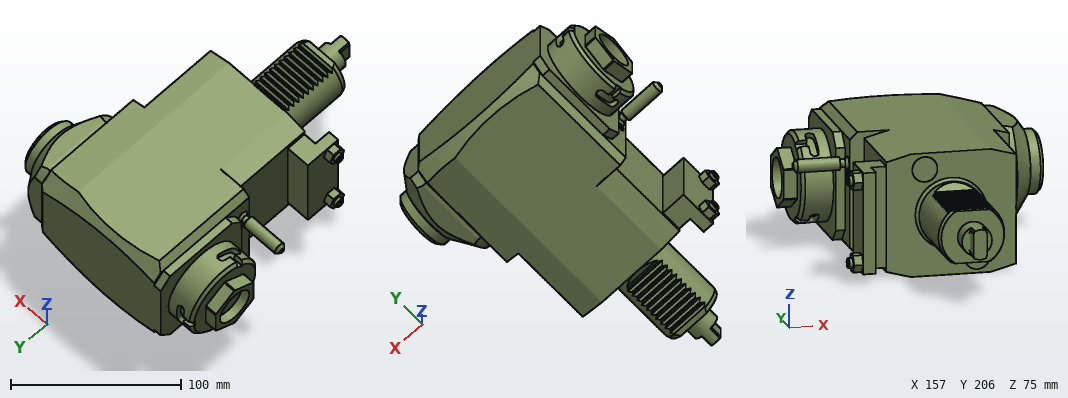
import cadquery as cq
import math


half_height = 37.5
head_left, head_right = -47.8, 48.6
head_bottom, head_top = 55.0, 134.0
head_edge_chamfer = 4.5
neck_left, neck_right = -39.1, 39.3
taper_angle = 15
taper_start_left, taper_start_right = -24.0, 23.9
end_cone_x = -9.3
end_cone_radius = 129.5
corner_chamfer_x, corner_chamfer_y = 4.0, 3.0
plug_x, plug_z = 15.9, 27.6
plug_radius, plug_recess = 7.6, 0.2

spindle_y = 100.0
flange_left = -53.4
flange_bottom = 66.7
flange_half_height = 33.0
flange_chamfer = 7.8
collar_left = -72.5
collar_radius = 27.6
collar_chamfer = 2.0
collar_slot_x = -62.8
collar_slot_width, collar_slot_length = 5.4, 19.0
collar_slot_depth = 3.5
collar_notch_width, collar_notch_depth = 5.0, 3.0
cut_margin = 2.0
hex_left = -80.8
hex_flats = 31.7
hex_corner_chamfer = 0.5
hex_bore_radius, hex_bore_depth = 12.2, 6.2

cap_radius = 37.5
cap_cylinder_right, cap_cone_right = 55.6, 67.5
cap_cone_radius = 21.0
cap_top = 130.0
cap_flat_z = 29.3
cap_flat_right = 51.7
cap_taper_angle = 12
knob_right = 76.2
knob_radius = 19.4
knob_chamfer = 2.3

pin_y, pin_z = 60.5, 17.5
pin_left, pin_right = -80.8, -53.0
pin_radius, pin_chamfer = 4.0, 2.0
pin_neck_radius, pin_neck_right = 2.5, -49.6
set_screw_z, set_screw_radius, set_screw_recess = 10.3, 4.0, 0.6
set_screw_hole_radius, set_screw_hole_depth = 1.2, 2.0

bracket_left, bracket_inner = -55.8, -48.2
bracket_bottom, bracket_top = -11.0, 14.2
bracket_step_y = 0.5
bracket_half_height = 31.0
nut_y, nut_z = -4.7, 25.1
nut_left, nut_flats = -61.2, 10.3
stud_left, stud_radius, stud_chamfer = -63.9, 3.0, 0.6
socket_flats, socket_depth = 3.3, 1.6

shank_radius, shank_end = 20.0, -53.1
shank_chamfer_radial, shank_chamfer_axial = 1.0, 3.0
ring_radius, ring_thickness, ring_fillet = 21.6, 2.5, 1.5
flat_z, flat_start = 15.9, -4.7
groove_first, groove_last, groove_count = -11.7, -47.8, 10
groove_pitch = (groove_first - groove_last) / (groove_count - 1)
groove_depth = 1.6
tip_radius, tip_end = 9.0, -63.9
tang_width, tang_end = 8.0, -72.0
tang_chamfer_x, tang_chamfer_start_z = 0.6, 6.8
tang_root_fillet = 0.6

taper_slope = math.tan(math.radians(taper_angle))


def box(x0, x1, y0, y1, z0, z1):
    return cq.Workplane("XY").box(x1 - x0, y1 - y0, z1 - z0, centered=False).translate((x0, y0, z0))


def x_plane(x, y, z):
    """Sketch plane normal to +X with its local axes along Y and Z."""
    return cq.Workplane("YZ", origin=(x, y, z))


def x_cylinder(x0, x1, radius, y, z):
    return x_plane(x0, y, z).circle(radius).extrude(x1 - x0)


def x_hexagon(x0, x1, flats, y, z, turn=0):
    """Hexagonal bar along X with corners on the Y axis, turned by an angle about X."""
    bar = x_plane(x0, y, z).polygon(6, flats / math.cos(math.pi / 6)).extrude(x1 - x0)
    return bar.rotate((0, y, z), (1, y, z), turn)


def y_prism(half_outline, y0, y1):
    """Extrude along Y an XZ outline mirrored about Z = 0; points run left to right."""
    mirrored = [(x, -z) for x, z in reversed(half_outline)]
    prism = cq.Workplane("XZ", origin=(0, y0, 0)).polyline(half_outline + mirrored).close()
    return prism.extrude(y0 - y1)


def make_housing():
    def right_side(right):
        return [
            (taper_start_right, half_height),
            (right, half_height - (right - taper_start_right) * taper_slope),
        ]

    head = y_prism(
        [
            (head_left, half_height - head_edge_chamfer),
            (head_left + head_edge_chamfer, half_height),
        ] + right_side(head_right),
        head_bottom,
        head_top,
    )
    corner = cq.Workplane("XY").polyline([
        (head_right - corner_chamfer_x, head_top),
        (head_right, head_top),
        (head_right, head_top - corner_chamfer_y),
    ]).close().extrude(half_height, both=True)

    end_cones = cq.Workplane("XZ").polyline([
        (0, -half_height),
        (end_cone_radius, -half_height),
        (end_cone_radius + half_height, 0),
        (end_cone_radius, half_height),
        (0, half_height),
    ]).close().revolve(360, (0, 0), (0, 1)).translate((end_cone_x, 0, 0))

    neck = y_prism(
        [
            (neck_left, half_height - (taper_start_left - neck_left) * taper_slope),
            (taper_start_left, half_height),
        ] + right_side(neck_right),
        0,
        head_bottom,
    )
    housing = head.cut(corner).intersect(end_cones).union(neck)
    for side in (-1, 1):
        center = (side * plug_x, 0, -side * plug_z)
        housing = housing.cut(cq.Workplane("XZ", origin=center).circle(plug_radius).extrude(-plug_recess))
    return housing


def make_flange():
    plate = box(flange_left, head_left, flange_bottom, head_top, -flange_half_height, flange_half_height)
    return plate.edges("|X").chamfer(flange_chamfer)


def make_collar():
    collar = x_cylinder(collar_left, flange_left, collar_radius, spindle_y, 0)
    collar = collar.faces("<X").chamfer(collar_chamfer)

    floor_radius = collar_radius - collar_slot_depth
    rim = x_cylinder(collar_left, flange_left, collar_radius + cut_margin, spindle_y, 0)
    rim = rim.cut(x_cylinder(collar_left, flange_left, floor_radius, spindle_y, 0))
    slot = cq.Workplane("XZ", origin=(collar_slot_x, spindle_y, 0))
    slot = slot.slot2D(collar_slot_length, collar_slot_width, 90).extrude(-collar_radius - cut_margin)
    slot = slot.intersect(rim)
    notch = box(
        collar_left, collar_slot_x,
        spindle_y + collar_radius - collar_notch_depth, spindle_y + collar_radius + cut_margin,
        -collar_notch_width / 2, collar_notch_width / 2,
    )
    spanner_cut = slot.union(notch)
    for angle in (0, 120, 240):
        collar = collar.cut(spanner_cut.rotate((0, spindle_y, 0), (1, spindle_y, 0), angle))

    hexagon = x_hexagon(hex_left, collar_left, hex_flats, spindle_y, 0, turn=90)
    hexagon = hexagon.edges("|X").chamfer(hex_corner_chamfer)
    bore = x_cylinder(hex_left, hex_left + hex_bore_depth, hex_bore_radius, spindle_y, 0)
    return collar.union(hexagon.cut(bore))


def make_cap():
    cap = cq.Workplane("XY", origin=(0, spindle_y, 0)).polyline([
        (head_right, 0),
        (head_right, cap_radius),
        (cap_cylinder_right, cap_radius),
        (cap_cone_right, cap_cone_radius),
        (cap_cone_right, 0),
    ]).close().revolve(360, (0, 0), (1, 0))
    taper_drop = (cap_cone_right - cap_flat_right) * math.tan(math.radians(cap_taper_angle))
    envelope = y_prism(
        [
            (head_right, cap_flat_z),
            (cap_flat_right, cap_flat_z),
            (cap_cone_right, cap_flat_z - taper_drop),
        ],
        spindle_y - cap_radius,
        cap_top,
    )
    knob = x_cylinder(cap_cone_right, knob_right, knob_radius, spindle_y, 0)
    return cap.intersect(envelope).union(knob.faces(">X").chamfer(knob_chamfer))


def make_pin():
    return cq.Workplane("XY", origin=(0, pin_y, pin_z)).polyline([
        (pin_left, 0),
        (pin_left, pin_radius - pin_chamfer),
        (pin_left + pin_chamfer, pin_radius),
        (pin_right, pin_radius),
        (pin_right, pin_neck_radius),
        (pin_neck_right, pin_neck_radius),
        (head_left, pin_radius),
        (head_left, 0),
    ]).close().revolve(360, (0, 0), (1, 0))


def make_set_screw_cut():
    recess = x_cylinder(head_left, head_left + set_screw_recess, set_screw_radius, pin_y, set_screw_z)
    hole_end = head_left + set_screw_hole_depth
    return recess.union(x_cylinder(head_left, hole_end, set_screw_hole_radius, pin_y, set_screw_z))


def make_bracket():
    bracket = cq.Workplane("XY").polyline([
        (neck_left, bracket_step_y),
        (neck_left, bracket_top),
        (bracket_left, bracket_top),
        (bracket_left, bracket_bottom),
        (bracket_inner, bracket_bottom),
        (bracket_inner, bracket_step_y),
    ]).close().extrude(bracket_half_height, both=True)
    for z in (-nut_z, nut_z):
        nut = x_hexagon(nut_left, bracket_left, nut_flats, nut_y, z)
        stud = x_cylinder(stud_left, nut_left, stud_radius, nut_y, z).faces("<X").chamfer(stud_chamfer)
        socket = x_hexagon(stud_left, stud_left + socket_depth, socket_flats, nut_y, z)
        bracket = bracket.union(nut).union(stud.cut(socket))
    return bracket


def make_shank():
    shank = cq.Workplane("XZ").circle(shank_radius).extrude(-shank_end)
    shank = shank.faces("<Y").chamfer(shank_chamfer_axial, shank_chamfer_radial)

    outline = [(flat_start, shank_radius), (flat_start - (shank_radius - flat_z), flat_z)]
    for i in range(groove_count):
        y = groove_first - i * groove_pitch
        outline += [(y + groove_depth, flat_z), (y, flat_z - groove_depth), (y - groove_depth, flat_z)]
    outline += [(shank_end, flat_z), (shank_end, shank_radius)]
    serration = cq.Workplane("YZ").polyline(outline).close().extrude(shank_radius, both=True)
    shank = shank.cut(serration).cut(serration.mirror("XY"))

    ring = cq.Workplane("XZ").circle(ring_radius).extrude(ring_thickness)
    ring = ring.faces("<Y").edges().fillet(ring_fillet)

    tip = cq.Workplane("XZ").circle(tip_radius).extrude(-tip_end)
    half_width = tang_width / 2
    half_narrow = half_width - tang_chamfer_x
    tang = y_prism(
        [
            (-half_width, tang_chamfer_start_z),
            (-half_narrow, math.sqrt(tip_radius ** 2 - half_narrow ** 2)),
            (-half_narrow, tip_radius),
            (half_narrow, tip_radius),
            (half_narrow, math.sqrt(tip_radius ** 2 - half_narrow ** 2)),
            (half_width, tang_chamfer_start_z),
        ],
        tang_end,
        tip_end,
    )
    tang = tang.intersect(cq.Workplane("XZ").circle(tip_radius).extrude(-tang_end))
    tip = tip.union(tang)
    for side in (-1, 1):
        tip = tip.edges(cq.selectors.NearestToPointSelector((side * half_width, tip_end, 0)))
        tip = tip.fillet(tang_root_fillet)
    return shank.union(ring).union(tip)


result = make_housing().cut(make_set_screw_cut())
for feature in (make_flange(), make_collar(), make_cap(), make_pin(), make_bracket(), make_shank()):
    result = result.union(feature)